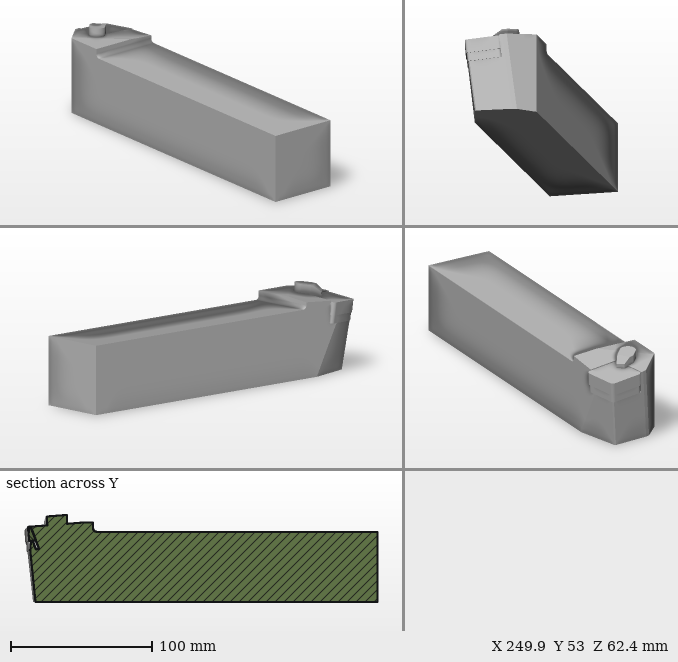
import cadquery as cq
import math

LENGTH = 249.8
WIDTH = 50.0
SHANK_HEIGHT = 50.0
HEAD_HEIGHT = 56.5
STEP_X = 48.5
STEP_RADIUS = 2.7

FLANK_LEAN = 0.11
CHAMFER_REACH = 20.5
CHAMFER_END_Y = 11.5
FLANK_START = (8.0, 14.5)
FLANK_END = (6.0, 40.5)
BACK_START = (6.7, 41.5)
BACK_ANGLE = 15.0
FAR_X = LENGTH + 50.0
CHAMFER_OVERRUN = 50.0

TILT = 6.3
HINGE_X = 17.5

INSERT_SUNK = 0.7
INSERT_INSCRIBED = 25.5
INSERT_SIDE = INSERT_INSCRIBED / math.sin(math.radians(80))
INSERT_THICKNESS = 9.5
INSERT_RADIUS = 2.37
INSERT_NOSE = (20.7, 46.2)
INSERT_EDGE_ANGLES = (-30.5, -130.5)
SHIM_THICKNESS = 6.0
SHIM_INSET = 0.5

CLAMP_HEIGHT = 6.2
CLAMP_LEFT = 13.2
CLAMP_RIGHT = 24.7
CLAMP_TAIL_V = 2.7
CLAMP_SHOULDER_V = 7.5
CLAMP_TAPER_V = 15.0
CLAMP_TIP_V = 22.7
CLAMP_TIP_LEFT = 17.7
CLAMP_TIP_RIGHT = 23.7
BEVEL_START_V = 18.5
BEVEL_ANGLE = 33.0
BEVEL_SKEW = 12.0

CLEARANCE = 25.0


def slope_plane(offset=0.0):
    """Plane parallel to the sloping top, raised by offset along its normal."""
    tilt = math.radians(TILT)
    across = math.sin(tilt) / math.sqrt(2)
    normal = (-across, across, math.cos(tilt))
    plane = cq.Plane(origin=(HINGE_X, 0, HEAD_HEIGHT), xDir=(1, 1, 0), normal=normal)
    plane.origin = plane.toWorldCoords((0, 0, offset))
    return plane


def make_side_profile():
    """Shank with the raised head, before its nose is shaped."""
    return (
        cq.Workplane("XZ")
        .moveTo(-CLEARANCE, 0)
        .lineTo(LENGTH, 0)
        .lineTo(LENGTH, SHANK_HEIGHT)
        .lineTo(STEP_X + STEP_RADIUS, SHANK_HEIGHT)
        .radiusArc((STEP_X, SHANK_HEIGHT + STEP_RADIUS), STEP_RADIUS)
        .lineTo(STEP_X, HEAD_HEIGHT)
        .lineTo(-CLEARANCE, HEAD_HEIGHT)
        .close()
        .extrude(-WIDTH)
    )


def make_flanks():
    """Oblique prism whose left walls are the chamfer and the flanks."""
    back_rise = (FAR_X - BACK_START[0]) * math.tan(math.radians(BACK_ANGLE))
    outline = [
        (CHAMFER_REACH + CHAMFER_OVERRUN, -CHAMFER_OVERRUN),
        (CHAMFER_REACH - CHAMFER_END_Y, CHAMFER_END_Y),
        FLANK_START,
        FLANK_END,
        BACK_START,
        (FAR_X, BACK_START[1] + back_rise),
        (FAR_X, -CHAMFER_OVERRUN),
    ]
    shift = FLANK_LEAN * HEAD_HEIGHT
    raised = [(x - shift, y + shift) for x, y in outline]
    return (
        cq.Workplane("XY")
        .polyline(outline)
        .close()
        .workplane(offset=HEAD_HEIGHT)
        .polyline(raised)
        .close()
        .loft(ruled=True)
    )


def make_slope_cutter():
    """Everything above the sloping top, on the nose side of the hinge."""
    reach = LENGTH
    return (
        cq.Workplane(slope_plane())
        .rect(2 * reach, reach)
        .extrude(CLEARANCE)
        .translate(slope_plane().yDir * (reach / 2))
    )


def make_rhombus(top, thickness, inset=0.0):
    """Rounded rhombic prism extruded down from top (an offset from the slope)."""
    back, side = [
        (INSERT_SIDE * math.cos(math.radians(a)), INSERT_SIDE * math.sin(math.radians(a)))
        for a in INSERT_EDGE_ANGLES
    ]
    u, v = INSERT_NOSE
    corners = [
        (u, v),
        (u + back[0], v + back[1]),
        (u + back[0] + side[0], v + back[1] + side[1]),
        (u + side[0], v + side[1]),
    ]
    scale = 1 - 2 * inset / INSERT_INSCRIBED
    centre_u = (corners[0][0] + corners[2][0]) / 2
    centre_v = (corners[0][1] + corners[2][1]) / 2
    points = [
        (centre_u + scale * (pu - centre_u), centre_v + scale * (pv - centre_v))
        for pu, pv in corners
    ]
    prism = cq.Workplane(slope_plane(top)).polyline(points).close().extrude(-thickness)
    return prism.edges(cq.selectors.ParallelDirSelector(slope_plane().zDir)).fillet(INSERT_RADIUS)


def make_clamp():
    """Round-tailed clamp whose bevelled nose reaches over the insert."""
    clamp = (
        cq.Workplane(slope_plane(-INSERT_SUNK))
        .moveTo(CLAMP_LEFT, CLAMP_SHOULDER_V)
        .threePointArc(((CLAMP_LEFT + CLAMP_RIGHT) / 2, CLAMP_TAIL_V), (CLAMP_RIGHT, CLAMP_SHOULDER_V))
        .lineTo(CLAMP_RIGHT, CLAMP_TAPER_V)
        .lineTo(CLAMP_TIP_RIGHT, CLAMP_TIP_V)
        .lineTo(CLAMP_TIP_LEFT, CLAMP_TIP_V)
        .lineTo(CLAMP_LEFT, CLAMP_TAPER_V)
        .close()
        .extrude(CLAMP_HEIGHT + INSERT_SUNK)
    )
    slope = slope_plane()
    skew = math.radians(BEVEL_SKEW)
    bevel_plane = cq.Plane(
        origin=slope.toWorldCoords((CLAMP_LEFT, BEVEL_START_V, CLAMP_HEIGHT)),
        xDir=slope.xDir * math.sin(skew) + slope.yDir * math.cos(skew),
        normal=slope.xDir * math.cos(skew) - slope.yDir * math.sin(skew),
    )
    bevel_drop = CLEARANCE * math.tan(math.radians(BEVEL_ANGLE))
    bevel = (
        cq.Workplane(bevel_plane)
        .polyline([(0, 0), (CLEARANCE, -bevel_drop), (CLEARANCE, 0)])
        .close()
        .extrude(CLEARANCE, both=True)
    )
    return clamp.cut(bevel)


def make_insert():
    return make_rhombus(-INSERT_SUNK, INSERT_THICKNESS)


def make_holder(insert):
    """Shank and head with the shim and clamp that hold the insert."""
    shim_top = -INSERT_SUNK - INSERT_THICKNESS
    pocket = make_rhombus(CLEARANCE, CLEARANCE - shim_top + SHIM_THICKNESS)
    shim = make_rhombus(shim_top, SHIM_THICKNESS, SHIM_INSET)
    head = make_side_profile().intersect(make_flanks()).cut(make_slope_cutter()).cut(pocket)
    return head.union(shim).union(make_clamp()).cut(insert)


insert = make_insert()
holder = make_holder(insert)

result = cq.Compound.makeCompound([holder.val(), insert.val()])